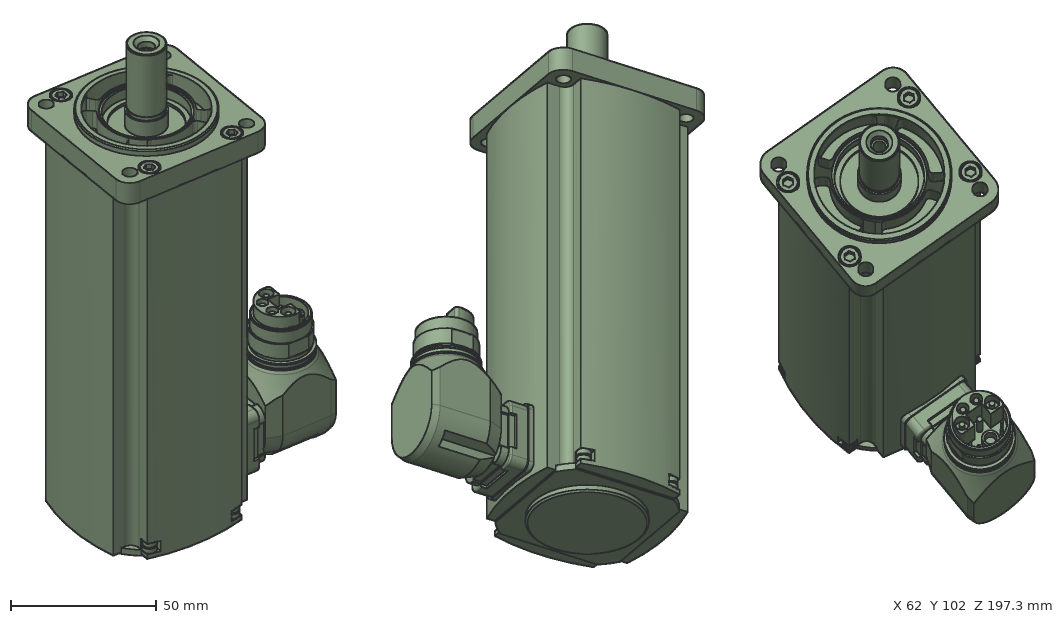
import cadquery as cq
import math


shaft_dia = 14.0
shaft_length = 30.0
shaft_edge_chamfer = 0.4
collar_dia = 15.0
collar_top = 2.0
neck_dia = 13.6
neck_top = 3.5
center_sink_dia = 9.0
center_bore_dia = 6.0
center_bore_depth = 4.0
center_sink_depth = 1.5
center_drill_dia = 4.3
center_drill_depth = 14.0

flange_size = 62.0
flange_thickness = 9.0
flange_corner_radius = 6.0
pilot_dia = 50.0
pilot_height = 2.5
pilot_chamfer = 0.5
mount_circle_dia = 70.0
mount_pitch = mount_circle_dia / math.sqrt(2)
mount_hole_dia = 5.3

recess_dia = 45.0
spoke_top = 1.5
slot_inner_radius = 17.2
slot_outer_radius = recess_dia / 2
slot_half_angle = 35.0
slot_floor = -6.0
slot_corner_radius = 1.5
hub_rim_dia = 32.8
hub_rim_top = 0.7
hub_bore_dia = 31.0
seal_dia = 27.0
hub_floor = -3.5
seal_floor = -4.5

tie_x = 26.2
tie_y = 17.5
tie_bore_dia = 7.8
tie_bore_depth = 1.0
tie_head_dia = 6.6
tie_socket_across_corners = 4.0
tie_socket_depth = 2.0

housing_bottom = -164.1
face_half_width = 20.0
face_edge = 28.4
face_middle = flange_size / 2
channel_radius = 3.5
notch_inner_x = 24.6
notch_inner_y = 15.0
notch_bottom = -162.2
notch_height = 4.4
tie_end_dia = 5.3
tie_end_groove_dia = 4.3
tie_end_groove_height = 0.6

cap_dia = 64.0
cap_size = 50.4
cap_bottom = -164.8
cover_dia = 42.6
overall_length = 197.3
cover_bottom = shaft_length - overall_length
cover_edge_chamfer = 0.7

base_z = -148.5
gasket_size = 27.0
gasket_back = 27.0
gasket_front = 32.0
base_size = 25.8
base_corner_radius = 3.0
base_front = 36.4
pad_front = 38.9
pad_gap = 13.6
pad_edge_fillet = 0.6
socket_neck_size = 23.4
socket_neck_corner_radius = 4.5
neck_groove_depth = 0.8

elbow_back = 42.0
elbow_front = 71.0
elbow_half_width = 14.0
elbow_front_half_width = 13.2
elbow_back_half_width = 11.8
elbow_flat_back = 47.8
elbow_flat_front = 68.2
elbow_top = -124.2
shoulder_top_radius = 13.0
shoulder_top_drop = 1.0
shoulder_middle_radius = 15.6
shoulder_middle_drop = 5.4
shoulder_bottom_radius = 19.3
shoulder_bottom_drop = 11.0
ledge_z = -155.9
ledge_half_width = 7.2
ledge_slope_drop = 1.2
ledge_front = 64.5

barrel_y = elbow_front - elbow_half_width
ring_dia = 24.6
ring_waist_dia = 23.8
ring_top = -121.2
ring_lip_height = 0.7
groove_dia = 21.95
nut_bottom = -119.7
nut_top = -113.6
nut_dia = 22.9
nut_across_flats = 21.2
barrel_dia = 21.55
barrel_top = -108.3
barrel_chamfer = 0.4
barrel_bore_dia = 19.0

insert_face = -115.3
tongue_top = -103.3
tongue_edge = 1.8
tongue_corner_radius = 1.2
tongue_notch_half_width = 3.4
tongue_notch_edge = -3.2
center_contact_dia = 1.99
center_contact_top = -106.0
contact_hole_depth = 5.0
contact_pin_recess = 1.0
contact_pin_dia = 1.99
large_contact = (6.5, -1.5)
large_contact_dia = 5.1
small_contact = (2.9, -5.7)
small_contact_dia = 4.13
signal_pins = [(5.0, 6.1), (6.9, 3.7)]
signal_pin_dia = 0.99
signal_pin_height = 4.0
key_y = 6.2
key_dia = 6.0
key_bore_dia = 4.3
key_height = 4.0


def cylinder(dia, bottom, top, x=0.0, y=0.0):
    """Upright cylinder between two heights."""
    return cq.Workplane("XY", origin=(x, y, bottom)).circle(dia / 2).extrude(top - bottom)


def box_between(x0, x1, y0, y1, z0, z1):
    """Box given by its limits along each axis."""
    return cq.Workplane("XY").box(x1 - x0, y1 - y0, z1 - z0, centered=False).translate((x0, y0, z0))


def square_block(size, corner_radius, y0, y1):
    """Square block with rounded edges along Y, centred on the connector base."""
    block = box_between(-size / 2, size / 2, y0, y1, base_z - size / 2, base_z + size / 2)
    return block.edges("|Y").fillet(corner_radius)


def corners(x, y):
    """The four mirrored positions of a point."""
    return [(sx * x, sy * y) for sx in (-1, 1) for sy in (-1, 1)]


def turned(x, y, quarter):
    """Point turned about Z by a number of quarter turns."""
    angle = math.radians(90 * quarter)
    return (x * math.cos(angle) - y * math.sin(angle), x * math.sin(angle) + y * math.cos(angle))


def make_housing():
    """Bar with four bulged faces and a rounded channel along each corner."""
    height = -flange_thickness - housing_bottom
    channel_end = face_half_width + channel_radius
    channel_middle = channel_end - channel_radius / math.sqrt(2)
    wire = cq.Workplane("XY", origin=(0, 0, housing_bottom)).moveTo(face_edge, -face_half_width)
    for quarter in range(4):
        if quarter > 0:
            wire = wire.lineTo(*turned(face_edge, -face_half_width, quarter))
        wire = wire.threePointArc(
            turned(face_middle, 0, quarter), turned(face_edge, face_half_width, quarter)
        )
        wire = wire.lineTo(*turned(channel_end, face_half_width, quarter))
        wire = wire.threePointArc(
            turned(channel_middle, channel_middle, quarter),
            turned(face_half_width, channel_end, quarter),
        )
    housing = wire.close().extrude(height)

    notch_top = notch_bottom + notch_height
    notch = box_between(
        notch_inner_x, face_middle, notch_inner_y, face_middle, notch_bottom, notch_top
    )
    notch_pair = notch.union(notch.mirror("YZ"))
    housing = housing.cut(notch_pair).cut(notch_pair.mirror("XZ"))
    groove_bottom = notch_bottom + (notch_height - tie_end_groove_height) / 2
    groove_top = groove_bottom + tie_end_groove_height
    for x, y in corners(tie_x, tie_y):
        housing = housing.union(cylinder(tie_end_dia, notch_bottom, groove_bottom, x, y))
        housing = housing.union(cylinder(tie_end_groove_dia, groove_bottom, groove_top, x, y))
        housing = housing.union(cylinder(tie_end_dia, groove_top, notch_top, x, y))
    return housing


def make_end_cap():
    """Rounded square cap that closes the channels, with a round cover below."""
    half = cap_size / 2
    cap = box_between(-half, half, -half, half, cap_bottom, notch_bottom)
    cap = cap.intersect(cylinder(cap_dia, cap_bottom, notch_bottom))
    cover = cylinder(cover_dia, cover_bottom, cap_bottom).faces("<Z").chamfer(cover_edge_chamfer)
    return cap.union(cover)


def make_slot():
    """Arc-shaped slot on the +Y side, between two spokes."""
    angle = math.radians(slot_half_angle)

    def at(radius, direction):
        return (radius * math.sin(direction), radius * math.cos(direction))

    slot = (
        cq.Workplane("XY", origin=(0, 0, slot_floor))
        .moveTo(*at(slot_inner_radius, -angle))
        .threePointArc(at(slot_inner_radius, 0), at(slot_inner_radius, angle))
        .lineTo(*at(slot_outer_radius, angle))
        .threePointArc(at(slot_outer_radius, 0), at(slot_outer_radius, -angle))
        .close()
        .extrude(pilot_height - slot_floor)
    )
    return slot.edges("|Z").fillet(slot_corner_radius)


def make_flange():
    """Square flange with pilot, recess, mounting holes and tie screw heads."""
    half = flange_size / 2
    flange = box_between(-half, half, -half, half, -flange_thickness, 0)
    flange = flange.edges("|Z").fillet(flange_corner_radius)
    flange = flange.union(cylinder(pilot_dia, 0, pilot_height).faces(">Z").chamfer(pilot_chamfer))
    flange = flange.cut(cylinder(recess_dia, spoke_top, pilot_height))
    flange = flange.cut(cylinder(hub_rim_dia, hub_rim_top, pilot_height))
    flange = flange.cut(cylinder(hub_bore_dia, hub_floor, pilot_height))
    flange = flange.cut(cylinder(seal_dia, seal_floor, hub_floor))
    for quarter in range(4):
        slot = make_slot().rotate((0, 0, 0), (0, 0, 1), 90 * quarter)
        flange = flange.cut(slot, clean=False)
    for x, y in corners(mount_pitch / 2, mount_pitch / 2):
        flange = flange.cut(cylinder(mount_hole_dia, -flange_thickness, 0, x, y))
    for x, y in corners(tie_x, tie_y):
        flange = flange.cut(cylinder(tie_bore_dia, -tie_bore_depth, 0, x, y))
        flange = flange.union(cylinder(tie_head_dia, -tie_bore_depth, 0, x, y))
        socket = cq.Workplane("XY", origin=(x, y, -tie_socket_depth))
        flange = flange.cut(socket.polygon(6, tie_socket_across_corners).extrude(tie_socket_depth))
    return flange


def make_shaft():
    """Shaft with a collar, a relief neck and a stepped center hole."""
    shaft = cylinder(collar_dia, seal_floor, collar_top)
    shaft = shaft.union(cylinder(neck_dia, collar_top, neck_top))
    rod = cylinder(shaft_dia, neck_top, shaft_length).faces(">Z").chamfer(shaft_edge_chamfer)
    center_hole = (
        cq.Workplane("XZ")
        .moveTo(0, shaft_length)
        .lineTo(center_sink_dia / 2, shaft_length)
        .lineTo(center_bore_dia / 2, shaft_length - center_sink_depth)
        .lineTo(center_bore_dia / 2, shaft_length - center_bore_depth)
        .lineTo(center_drill_dia / 2, shaft_length - center_bore_depth)
        .lineTo(center_drill_dia / 2, shaft_length - center_drill_depth)
        .lineTo(0, shaft_length - center_drill_depth - center_drill_dia / 2)
        .close()
        .revolve(360, (0, 0, 0), (0, 1, 0))
    )
    return shaft.union(rod).cut(center_hole)


def make_connector_base():
    """Gasket, base plate with four corner pads, and the neck of the elbow."""
    gasket = square_block(gasket_size, base_corner_radius, gasket_back, gasket_front)
    plate = square_block(base_size, base_corner_radius, gasket_front, base_front)
    pads = square_block(base_size, base_corner_radius, base_front, pad_front)
    half = base_size / 2
    gap = pad_gap / 2
    pads = pads.faces(">Y").edges().fillet(pad_edge_fillet)
    pads = pads.cut(box_between(-half, half, base_front, pad_front, base_z - gap, base_z + gap))
    pads = pads.cut(box_between(-gap, gap, base_front, pad_front, base_z - half, base_z + half))
    neck = square_block(socket_neck_size, socket_neck_corner_radius, base_front, elbow_back)
    neck_half = socket_neck_size / 2
    core = neck_half - neck_groove_depth
    for angle in (0, 90, 180, 270):
        groove = box_between(-gap, gap, pad_front, elbow_back, core, neck_half)
        neck = neck.cut(groove.rotate((0, 0, 0), (0, 1, 0), angle).translate((0, 0, base_z)))
    return gasket.union(plate).union(pads).union(neck)


def elbow_section(half_width, y):
    """Wire across Y with a half-round bottom, straight sides and a flat top."""
    return (
        cq.Workplane("XZ", origin=(0, y, 0))
        .moveTo(-half_width, base_z)
        .threePointArc((0, base_z - half_width), (half_width, base_z))
        .lineTo(half_width, elbow_top)
        .lineTo(-half_width, elbow_top)
        .close()
        .val()
    )


def make_elbow():
    """Elbow with tapered ends, a half-round bottom and a domed shoulder at the top."""
    sections = [
        elbow_section(elbow_back_half_width, elbow_back),
        elbow_section(elbow_half_width, elbow_flat_back),
        elbow_section(elbow_half_width, elbow_flat_front),
        elbow_section(elbow_front_half_width, elbow_front),
    ]
    elbow = cq.Workplane(cq.Solid.makeLoft(sections, True))
    bottom = base_z - elbow_half_width
    shoulder = (
        cq.Workplane("XZ")
        .moveTo(0, bottom)
        .lineTo(shoulder_bottom_radius, bottom)
        .lineTo(shoulder_bottom_radius, elbow_top - shoulder_bottom_drop)
        .threePointArc(
            (shoulder_middle_radius, elbow_top - shoulder_middle_drop),
            (shoulder_top_radius, elbow_top - shoulder_top_drop),
        )
        .lineTo(ring_dia / 2, elbow_top)
        .lineTo(0, elbow_top)
        .close()
        .revolve(360, (0, 0, 0), (0, 1, 0))
        .translate((0, barrel_y, 0))
    )
    elbow = elbow.intersect(shoulder)
    ledge = (
        cq.Workplane("XZ", origin=(0, ledge_front, 0))
        .moveTo(ledge_half_width, bottom)
        .lineTo(elbow_half_width, bottom)
        .lineTo(elbow_half_width, ledge_z)
        .lineTo(ledge_half_width, ledge_z - ledge_slope_drop)
        .close()
        .extrude(ledge_front - elbow_back)
    )
    return elbow.cut(ledge).cut(ledge.mirror("YZ"))


def barrel_step(dia, bottom, top):
    """Cylinder on the barrel axis."""
    return cylinder(dia, bottom, top, 0, barrel_y)


def make_barrel():
    """Hollow stepped barrel with a waisted ring and a nut with two flats."""
    barrel = barrel_step(ring_dia, elbow_top, elbow_top + ring_lip_height)
    barrel = barrel.union(barrel_step(ring_waist_dia, elbow_top, ring_top))
    barrel = barrel.union(barrel_step(ring_dia, ring_top - ring_lip_height, ring_top))
    barrel = barrel.union(barrel_step(groove_dia, ring_top, nut_bottom))
    flat_x = nut_across_flats / 2
    nut_radius = nut_dia / 2
    nut = barrel_step(nut_dia, nut_bottom, nut_top).intersect(
        box_between(
            -flat_x, flat_x, barrel_y - nut_radius, barrel_y + nut_radius, nut_bottom, nut_top
        )
    )
    barrel = barrel.union(nut)
    barrel = barrel.union(barrel_step(barrel_dia, nut_top, barrel_top).faces(">Z").chamfer(barrel_chamfer))
    return barrel.cut(barrel_step(barrel_bore_dia, insert_face, barrel_top))


def make_contact_insert():
    """D-shaped tongue with four contacts, signal pins and a round key."""
    radius = barrel_bore_dia / 2
    edge_y = barrel_y + tongue_edge
    tongue = barrel_step(barrel_bore_dia, insert_face, tongue_top).intersect(
        box_between(-radius, radius, barrel_y - radius, edge_y, insert_face, tongue_top)
    )
    tongue = tongue.edges("|Z and >Y").fillet(tongue_corner_radius)
    notch = tongue_notch_half_width
    tongue = tongue.cut(
        box_between(-notch, notch, barrel_y + tongue_notch_edge, edge_y, insert_face, tongue_top)
    )
    for (contact_x, contact_y), dia in (
        (large_contact, large_contact_dia),
        (small_contact, small_contact_dia),
    ):
        floor = tongue_top - contact_hole_depth
        pin_top = tongue_top - contact_pin_recess
        for x in (-contact_x, contact_x):
            y = barrel_y + contact_y
            tongue = tongue.cut(cylinder(dia, floor, tongue_top, x, y))
            tongue = tongue.union(cylinder(contact_pin_dia, floor, pin_top, x, y))
    insert = tongue.union(barrel_step(center_contact_dia, insert_face, center_contact_top))
    for pin_x, pin_y in signal_pins:
        for x in (-pin_x, pin_x):
            pin_top = insert_face + signal_pin_height
            insert = insert.union(cylinder(signal_pin_dia, insert_face, pin_top, x, barrel_y + pin_y))
    key_top = insert_face + key_height
    key = cylinder(key_dia, insert_face, key_top, 0, barrel_y + key_y)
    key = key.cut(cylinder(key_bore_dia, insert_face, key_top, 0, barrel_y + key_y))
    return insert.union(key)


result = (
    make_flange()
    .union(make_shaft())
    .union(make_housing())
    .union(make_end_cap())
    .union(make_connector_base())
    .union(make_elbow())
    .union(make_barrel())
    .union(make_contact_insert())
)